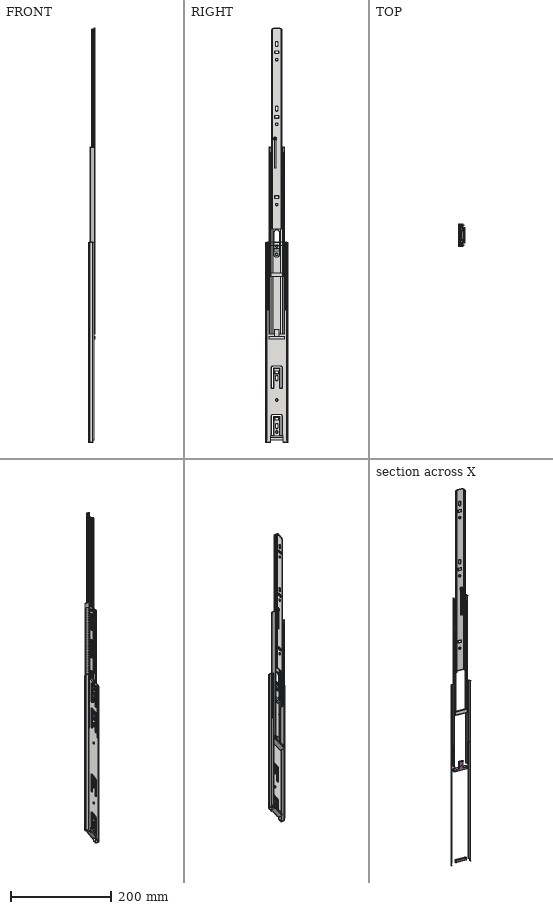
import cadquery as cq


TOTAL_LENGTH = 825.0
TOTAL_DEPTH = 12.0
SHEET = 1.2
INNER_LENGTH = 400.0
OUTER_LENGTH = 398.5

OUTER_HALF = 45.0 / 2
OUTER_FOOT_HALF = 22.0
OUTER_BULGE_START = 4.0
OUTER_BULGE_END = 7.5
OUTER_DEPTH = 11.0
OUTER_LIP_DROP = 2.5
END_STEP = 4.0
FOOT_DEPTH = 8.0
STOP_HALF = 12.0
STOP_HEIGHT = 6.0
STOP_SLIT_HEIGHT = 2.5
STOP_DEPTH = 9.0
CORNER_HOLE_Y = 17.0
CORNER_HOLE_SIZE = 3.0
CORNER_HOLE_DROP = 7.0

TONGUES = [
    (385.0, 337.0, 364.0, [], [374.5, 352.0, 345.0]),
    (321.0, 271.5, 301.0, [], [313.0, 287.0, 281.0]),
    (152.0, 108.0, 139.5, [128.0], []),
    (55.0, 14.0, 47.0, [32.0], [21.0]),
]
TONGUE_OUTER_HALF = 11.0
TONGUE_LEG_WIDTH = 4.5
TONGUE_HEAD_GAP = 4.0
TONGUE_CORNER = 3.0
OUTER_HOLES_Z = [391.0, 238.0, 84.0]

HOLE_DIAMETER = 4.5
SLOT_LENGTH = 10.0
WIDE_HOLE_WIDTH = 7.5
WIDE_HOLE_HEIGHT = 5.0

MIDDLE_TOP = 588.0
MIDDLE_BOTTOM = 216.0
MIDDLE_BACK = 2.5
MIDDLE_SHEET = 1.0
MIDDLE_HALF = 16.0
MIDDLE_LEAN = 0.4
MIDDLE_EDGE_HALF = MIDDLE_HALF - MIDDLE_LEAN
MIDDLE_BULGE_START = 5.0
MIDDLE_BULGE_END = 9.0
JOG_DEPTH = 2.3
JOG_OUTER_HALF = 11.5
JOG_INNER_HALF = 7.5
WINDOW_WIDTH = 11.0
WINDOWS = [(569.0, 529.0), (503.0, 458.0), (423.0, 369.0)]
MIDDLE_HOLE_Z = 579.0

INNER_BACK = 5.4
INNER_HALF = 11.0
INNER_BEND = 2.0
RACEWAY_EDGES = (7.0, 11.0)
RACEWAY_FLOOR = (7.8, 10.0)
RACEWAY_DEPTH = 1.0
INNER_TOP_CORNER = 6.0
INNER_MOUNT_STEP = 129.0
INNER_SLOT_Z = 794.0
INNER_WIDE_HOLE_Z = 777.0
INNER_HOLE_Z = 762.0
INNER_LAST_WIDE_HOLE_Z = 488.0

OUTER_CAGE_Y = (17.0, 19.0)
OUTER_CAGE_X = (1.5, 9.0)
OUTER_CAGE_Z = (264.0, 399.0)
OUTER_CAGE_BRIDGE = 1.0
INNER_CAGE_Y = (11.5, 13.0)
INNER_CAGE_X = (7.0, 11.0)
INNER_CAGE_Z = (330.0, 577.5)
INNER_CAGE_BRIDGE = 3.0
BRIDGE_HEIGHT = 7.5

LEVER_Y = -3.0
LEVER_TOP_Z = 605.0
LEVER_LENGTH = 58.0
LEVER_HEAD_RADIUS = 3.0
LEVER_ARM_WIDTH = 3.0
LEVER_EYE_DIAMETER = 2.9

BUMPER_BOTTOM = 205.5
BUMPER_HEIGHT = 5.0
BUMPER_TONGUE_HALF = 5.0
BUMPER_TONGUE_LENGTH = 15.0
BUMPER_TONGUE_THICKNESS = 3.0


def block(x_range, y_range, z_range):
    """Box between the given limits."""
    (x0, x1), (y0, y1), (z0, z1) = x_range, y_range, z_range
    return cq.Workplane("XY").box(x1 - x0, y1 - y0, z1 - z0, centered=False).translate((x0, y0, z0))


def rail(half_profile, bottom, top):
    """Symmetrical sheet profile extruded along Z."""
    mirrored = [(x, -y) for x, y in reversed(half_profile) if y > 0]
    outline = cq.Workplane("XY").workplane(offset=bottom).polyline(half_profile + mirrored).close()
    return outline.extrude(top - bottom)


def through(width, height, z, y=0.0):
    """Rectangular cutter through the whole depth of the slide."""
    return block(
        (-SHEET, TOTAL_DEPTH + SHEET),
        (y - width / 2, y + width / 2),
        (z - height / 2, z + height / 2),
    )


def round_hole(z):
    hole = cq.Workplane("YZ").center(0, z).circle(HOLE_DIAMETER / 2)
    return hole.extrude(2 * TOTAL_DEPTH, both=True)


def long_slot(z, length, width):
    """Cutter with round ends, long along Z."""
    slot = cq.Workplane("YZ").center(0, z).slot2D(length, width, 90)
    return slot.extrude(2 * TOTAL_DEPTH, both=True)


def tongue_gap(top, bottom):
    """U-shaped gap that frees a tongue, open downward."""
    height = top - bottom
    frame = through(2 * TONGUE_OUTER_HALF, height, (top + bottom) / 2)
    frame = frame.edges("|X and >Z").fillet(TONGUE_CORNER)
    inner_half = TONGUE_OUTER_HALF - TONGUE_LEG_WIDTH
    tongue_top = top - TONGUE_HEAD_GAP
    return frame.cut(through(2 * inner_half, tongue_top - bottom, (tongue_top + bottom) / 2))


def make_outer_rail():
    lip = OUTER_HALF - OUTER_LIP_DROP
    body = rail(
        [
            (0, OUTER_FOOT_HALF),
            (OUTER_BULGE_START, OUTER_HALF),
            (OUTER_BULGE_END, OUTER_HALF),
            (OUTER_DEPTH, lip),
            (OUTER_DEPTH, lip - SHEET),
            (OUTER_BULGE_END, OUTER_HALF - SHEET),
            (OUTER_BULGE_START, OUTER_HALF - SHEET),
            (SHEET, OUTER_FOOT_HALF - SHEET),
        ],
        0,
        OUTER_LENGTH,
    )
    full_width = (-OUTER_HALF, OUTER_HALF)
    body = body.cut(block((FOOT_DEPTH, TOTAL_DEPTH), full_width, (0, END_STEP)))
    body = body.cut(block((0, SHEET), (-STOP_HALF, STOP_HALF), (0, END_STEP)))
    stop_z = (END_STEP, END_STEP + STOP_HEIGHT)
    body = body.union(block((0, STOP_DEPTH), (-STOP_HALF, STOP_HALF), stop_z))
    slit_z = (stop_z[1], stop_z[1] + STOP_SLIT_HEIGHT)
    body = body.cut(block((0, SHEET), (-STOP_HALF, STOP_HALF), slit_z))
    for top, bottom, mount_z, slots_z, holes_z in TONGUES:
        body = body.cut(tongue_gap(top, bottom))
        body = body.cut(through(WIDE_HOLE_WIDTH, WIDE_HOLE_HEIGHT, mount_z))
        for z in slots_z:
            body = body.cut(long_slot(z, SLOT_LENGTH, HOLE_DIAMETER))
        for z in holes_z:
            body = body.cut(round_hole(z))
    for z in OUTER_HOLES_Z:
        body = body.cut(round_hole(z))
    for y in (-CORNER_HOLE_Y, CORNER_HOLE_Y):
        z = OUTER_LENGTH - CORNER_HOLE_DROP
        body = body.cut(through(CORNER_HOLE_SIZE, CORNER_HOLE_SIZE, z, y))
    return body


def make_middle_rail():
    body = rail(
        [
            (MIDDLE_BACK + JOG_DEPTH, JOG_INNER_HALF),
            (MIDDLE_BACK, JOG_OUTER_HALF),
            (MIDDLE_BACK, MIDDLE_EDGE_HALF),
            (MIDDLE_BULGE_START, MIDDLE_HALF),
            (MIDDLE_BULGE_END, MIDDLE_HALF),
            (TOTAL_DEPTH, MIDDLE_EDGE_HALF),
            (TOTAL_DEPTH, MIDDLE_EDGE_HALF - MIDDLE_SHEET),
            (MIDDLE_BULGE_END, MIDDLE_HALF - MIDDLE_SHEET),
            (MIDDLE_BULGE_START, MIDDLE_HALF - MIDDLE_SHEET),
            (MIDDLE_BACK + MIDDLE_SHEET, MIDDLE_EDGE_HALF - MIDDLE_SHEET),
            (MIDDLE_BACK + MIDDLE_SHEET, JOG_OUTER_HALF),
            (MIDDLE_BACK + JOG_DEPTH + MIDDLE_SHEET, JOG_INNER_HALF),
        ],
        MIDDLE_BOTTOM,
        MIDDLE_TOP,
    )
    for top, bottom in WINDOWS:
        body = body.cut(long_slot((top + bottom) / 2, top - bottom, WINDOW_WIDTH))
    return body.cut(round_hole(MIDDLE_HOLE_Z))


def make_inner_rail():
    edge_start, edge_end = RACEWAY_EDGES
    floor_start, floor_end = RACEWAY_FLOOR
    body = rail(
        [
            (TOTAL_DEPTH - SHEET, INNER_HALF - SHEET - RACEWAY_DEPTH),
            (floor_start, INNER_HALF - SHEET - RACEWAY_DEPTH),
            (edge_start, INNER_HALF - SHEET),
            (INNER_BACK, INNER_HALF - SHEET),
            (INNER_BACK, INNER_HALF),
            (edge_start, INNER_HALF),
            (floor_start, INNER_HALF - RACEWAY_DEPTH),
            (floor_end, INNER_HALF - RACEWAY_DEPTH),
            (edge_end, INNER_HALF),
            (TOTAL_DEPTH, INNER_HALF - INNER_BEND),
        ],
        TOTAL_LENGTH - INNER_LENGTH,
        TOTAL_LENGTH,
    )
    envelope = through(2 * INNER_HALF, INNER_LENGTH, TOTAL_LENGTH - INNER_LENGTH / 2)
    body = body.intersect(envelope.edges("|X and >Z").fillet(INNER_TOP_CORNER))
    for drop in (0, INNER_MOUNT_STEP):
        body = body.cut(long_slot(INNER_SLOT_Z - drop, SLOT_LENGTH, HOLE_DIAMETER))
    last_drop = INNER_WIDE_HOLE_Z - INNER_LAST_WIDE_HOLE_Z
    for drop in (0, INNER_MOUNT_STEP, last_drop):
        body = body.cut(through(WIDE_HOLE_WIDTH, WIDE_HOLE_HEIGHT, INNER_WIDE_HOLE_Z - drop))
        body = body.cut(round_hole(INNER_HOLE_Z - drop))
    return body


def make_cage(x_range, y_range, z_range, bridge_z, bridge_thickness):
    """Two ball strips joined by one cross strap."""
    near, far = y_range
    bridge_x = (x_range[0], x_range[0] + bridge_thickness)
    cage = block(bridge_x, (-far, far), (bridge_z, bridge_z + BRIDGE_HEIGHT))
    for strip_y in ((near, far), (-far, -near)):
        cage = cage.union(block(x_range, strip_y, z_range))
    return cage


def make_lever():
    """Flat lever with a round head, lying on the web of the inner rail."""
    back = TOTAL_DEPTH - 2 * SHEET
    plane = cq.Workplane("YZ").workplane(offset=back)
    head = plane.center(LEVER_Y, LEVER_TOP_Z).circle(LEVER_HEAD_RADIUS).extrude(SHEET)
    arm_y = (LEVER_Y - LEVER_ARM_WIDTH / 2, LEVER_Y + LEVER_ARM_WIDTH / 2)
    arm = block((back, back + SHEET), arm_y, (LEVER_TOP_Z - LEVER_LENGTH, LEVER_TOP_Z))
    eye = plane.center(LEVER_Y, LEVER_TOP_Z).circle(LEVER_EYE_DIAMETER / 2).extrude(SHEET)
    return head.union(arm).cut(eye)


def make_bumper():
    """End block below the middle rail, with a tongue that lies on the rail's web."""
    top = BUMPER_BOTTOM + BUMPER_HEIGHT
    head = block((MIDDLE_BACK, TOTAL_DEPTH), (-MIDDLE_HALF, MIDDLE_HALF), (BUMPER_BOTTOM, top))
    tongue_x = MIDDLE_BACK + JOG_DEPTH + MIDDLE_SHEET
    tongue = block(
        (tongue_x, tongue_x + BUMPER_TONGUE_THICKNESS),
        (-BUMPER_TONGUE_HALF, BUMPER_TONGUE_HALF),
        (top, top + BUMPER_TONGUE_LENGTH),
    )
    return head.union(tongue)


outer_rail = make_outer_rail()
middle_rail = make_middle_rail()
inner_rail = make_inner_rail()
outer_cage_bridge_z = OUTER_CAGE_Z[1] - BRIDGE_HEIGHT
outer_cage = make_cage(OUTER_CAGE_X, OUTER_CAGE_Y, OUTER_CAGE_Z, outer_cage_bridge_z, OUTER_CAGE_BRIDGE)
inner_cage = make_cage(INNER_CAGE_X, INNER_CAGE_Y, INNER_CAGE_Z, INNER_CAGE_Z[0], INNER_CAGE_BRIDGE)
lever = make_lever()
bumper = make_bumper()

bodies = [outer_rail, middle_rail, inner_rail, outer_cage, inner_cage, lever, bumper]
result = cq.Compound.makeCompound([body.solids().val() for body in bodies])